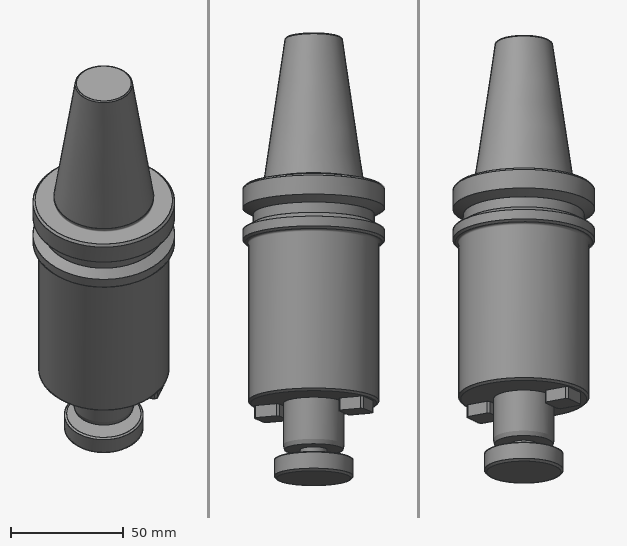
import cadquery as cq
import math


taper_length = 65.4
gauge_radius = 44.45 / 2
taper_ratio = 7 / 24
tail_radius = gauge_radius - taper_length * taper_ratio / 2
tail_chamfer = 0.5
relief_depth = 0.3
relief_root_round = 0.5

flange_radius = 31.5
flange_top_z = -2.0
flange_bottom_z = -27.0
flange_chamfer = 1.0
groove_floor_radius = 26.9
groove_center_z = -16.6
groove_mouth_width = 10.0
groove_wall_angle = 30.0

body_radius = 29.0
body_bottom_z = -100.0
body_chamfer = 1.0
body_root_round = 1.0

pilot_radius = 13.5
pilot_length = 21.0
pilot_lead_radial = 0.5
pilot_lead_length = 2.0

screw_neck_radius = 6.0
screw_head_radius = 17.5
screw_head_bottom_z = -134.0
screw_head_height = 8.8
screw_head_chamfer = 1.0
head_top_chamfer_height = 0.5

key_count = 2
key_width = 12.0
key_inner_x = 14.5
key_outer_x = 26.6
key_height = 5.5
key_chamfer = 1.0


def make_shank_and_flange():
    """Taper, relief neck, grooved flange and body as one turned profile."""
    relief_radius = gauge_radius - relief_depth
    tail_chamfer_z = taper_length - tail_chamfer
    half_mouth = groove_mouth_width / 2
    wall_rise = (flange_radius - groove_floor_radius) * math.tan(math.radians(groove_wall_angle))
    half_floor = half_mouth - wall_rise
    profile = (
        cq.Workplane("XZ")
        .moveTo(0, taper_length)
        .lineTo(tail_radius - tail_chamfer, taper_length)
        .lineTo(tail_radius + tail_chamfer * taper_ratio / 2, tail_chamfer_z)
        .lineTo(gauge_radius, 0)
        .lineTo(relief_radius, -relief_depth)
        .lineTo(relief_radius, flange_top_z + relief_root_round)
        .radiusArc((relief_radius + relief_root_round, flange_top_z), -relief_root_round)
        .lineTo(flange_radius - flange_chamfer, flange_top_z)
        .lineTo(flange_radius, flange_top_z - flange_chamfer)
        .lineTo(flange_radius, groove_center_z + half_mouth)
        .lineTo(groove_floor_radius, groove_center_z + half_floor)
        .lineTo(groove_floor_radius, groove_center_z - half_floor)
        .lineTo(flange_radius, groove_center_z - half_mouth)
        .lineTo(flange_radius, flange_bottom_z + flange_chamfer)
        .lineTo(flange_radius - flange_chamfer, flange_bottom_z)
        .lineTo(body_radius + body_root_round, flange_bottom_z)
        .radiusArc((body_radius, flange_bottom_z - body_root_round), -body_root_round)
        .lineTo(body_radius, body_bottom_z + body_chamfer)
        .lineTo(body_radius - body_chamfer, body_bottom_z)
        .lineTo(0, body_bottom_z)
        .close()
    )
    return profile.revolve(360, (0, 0, 0), (0, 1, 0))


def make_pilot_and_screw():
    """Pilot spigot with lead-in, screw neck and screw head as one turned profile."""
    pilot_bottom_z = body_bottom_z - pilot_length
    head_top_z = screw_head_bottom_z + screw_head_height
    head_rim_radius = screw_head_radius - screw_head_chamfer
    profile = (
        cq.Workplane("XZ")
        .moveTo(0, body_bottom_z)
        .lineTo(pilot_radius, body_bottom_z)
        .lineTo(pilot_radius, pilot_bottom_z + pilot_lead_length)
        .lineTo(pilot_radius - pilot_lead_radial, pilot_bottom_z)
        .lineTo(screw_neck_radius, pilot_bottom_z)
        .lineTo(screw_neck_radius, head_top_z)
        .lineTo(head_rim_radius, head_top_z)
        .lineTo(screw_head_radius, head_top_z - head_top_chamfer_height)
        .lineTo(screw_head_radius, screw_head_bottom_z + screw_head_chamfer)
        .lineTo(head_rim_radius, screw_head_bottom_z)
        .lineTo(0, screw_head_bottom_z)
        .close()
    )
    return profile.revolve(360, (0, 0, 0), (0, 1, 0))


def make_drive_key(angle):
    """Block under the body with chamfered upright edges, turned about Z."""
    return (
        cq.Workplane("XY", origin=(0, 0, body_bottom_z))
        .center((key_inner_x + key_outer_x) / 2, 0)
        .rect(key_outer_x - key_inner_x, key_width)
        .extrude(-key_height)
        .edges("|Z")
        .chamfer(key_chamfer)
        .rotate((0, 0, 0), (0, 0, 1), angle)
    )


result = make_shank_and_flange().union(make_pilot_and_screw())
for key_index in range(key_count):
    result = result.union(make_drive_key(key_index * 360 / key_count))